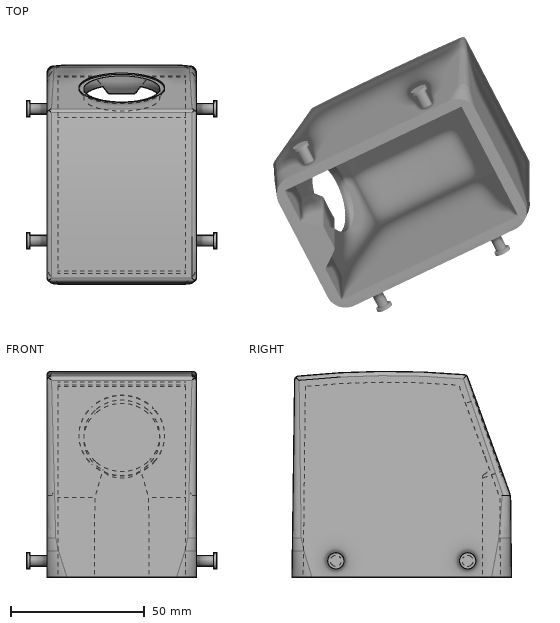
import cadquery as cq
import math

length = 82.0
height = 76.9
width = 55.85
wall = 4.1
edge_radius = 1.6

front_draft = 1.0
back_draft = 0.3
bend_z = 30.5
bend_radius = 11.1
slope_top_y = 24.3
crown_y = -4.9
roof_radius = 319.8

bottom_corner_radius = 7.5
front_stations = [(9.8, 4.35), (14.8, 3.3)]
back_middle = (14.8, 4.6)
back_bend_radius = 3.2
slope_start_radius = 2.7
cutter_margin = 1.6

entry_z = 53.0
entry_diameter = 28.4
recess_diameter = 32.0
recess_depth = 0.5
entry_reach = 13.1

rib_face_y = 30.2
rib_face_half_width = 4.9
rib_edge_radius = 1.2
rib_side_spread = 0.8

stud_span = 71.0
stud_y = 24.6
stud_z = 6.15
shank_diameter = 4.1
head_diameter = 6.1
head_thickness = 1.2

half_width = width / 2
half_length = length / 2


def roof_z(y):
    drop = roof_radius - math.sqrt(roof_radius**2 - (y - crown_y) ** 2)
    return height - drop


front_bottom = (-half_length, 0)
front_top_y = -half_length + front_draft
front_top = (front_top_y, roof_z(front_top_y))
back_bottom = (half_length, 0)
bend = (half_length - back_draft, bend_z)
slope_top = (slope_top_y, roof_z(slope_top_y))

slope_length = math.dist(bend, slope_top)
slope_normal_y = (slope_top[1] - bend[1]) / slope_length
slope_normal_z = (bend[0] - slope_top[0]) / slope_length


def side_outline(bottom_z=0.0):
    return (
        cq.Workplane("YZ")
        .moveTo(-half_length, bottom_z)
        .lineTo(half_length, bottom_z)
        .lineTo(*bend)
        .lineTo(*slope_top)
        .threePointArc((crown_y, height), front_top)
        .close()
    )


def corner_section(edge_y, edge_z, inward, radius):
    """Area outside a rounded corner, in the plane of X and the inward direction."""
    plane = cq.Plane(
        origin=(half_width, edge_y, edge_z),
        xDir=(1, 0, 0),
        normal=cq.Vector(1, 0, 0).cross(cq.Vector(0, *inward)),
    )
    mid = radius * (1 - math.cos(math.pi / 4))
    return (
        cq.Workplane(plane)
        .moveTo(-radius, -cutter_margin)
        .lineTo(-radius, 0)
        .threePointArc((-mid, mid), (0, radius))
        .lineTo(cutter_margin, radius)
        .lineTo(cutter_margin, -cutter_margin)
        .close()
        .val()
    )


def corner_cutter(start, end, inward, stations):
    """Solid removed along one edge; stations are (distance from start, radius)."""
    edge_length = math.dist(start, end)
    sections = []
    for distance, radius in stations:
        share = distance / edge_length
        y = start[0] + share * (end[0] - start[0])
        z = start[1] + share * (end[1] - start[1])
        sections.append(corner_section(y, z, inward, radius))
    cutter = cq.Workplane(cq.Solid.makeLoft(sections, True))
    return [cutter, cutter.mirror("YZ")]


front_length = math.dist(front_bottom, front_top)
cutters = (
    corner_cutter(
        front_bottom,
        front_top,
        (1, 0),
        [(0, bottom_corner_radius)]
        + front_stations
        + [(front_length + cutter_margin, edge_radius)],
    )
    + corner_cutter(
        back_bottom,
        bend,
        (-1, 0),
        [(0, bottom_corner_radius), back_middle, (bend_z, back_bend_radius)],
    )
    + corner_cutter(
        bend,
        slope_top,
        (-slope_normal_y, -slope_normal_z),
        [(0, slope_start_radius), (slope_length + cutter_margin, edge_radius)],
    )
)

hood = side_outline().extrude(half_width, both=True)
bend_edge = cq.selectors.NearestToPointSelector((0, *bend))
hood = hood.edges(bend_edge).fillet(bend_radius)
roof = cq.selectors.NearestToPointSelector((0, crown_y, height))
hood = hood.faces(roof).edges().fillet(edge_radius)
for cutter in cutters:
    hood = hood.cut(cutter)

mouth_z = -2 * wall
cavity = side_outline(mouth_z).offset2D(-wall).extrude(half_width - wall, both=True)
rib_depth = half_length - rib_face_y
rib_base_half_width = rib_face_half_width + rib_side_spread * rib_depth
rib = (
    cq.Workplane("XY")
    .polyline(
        [
            (-rib_face_half_width, rib_face_y),
            (rib_face_half_width, rib_face_y),
            (rib_base_half_width, half_length),
            (-rib_base_half_width, half_length),
        ]
    )
    .close()
    .extrude(height)
    .faces("<Y")
    .edges("|Z")
    .fillet(rib_edge_radius)
)
hood = hood.cut(cavity.cut(rib))

entry_y = bend[0] - (entry_z - bend_z) * slope_normal_z / slope_normal_y
entry_plane = cq.Plane(
    origin=(0, entry_y, entry_z),
    xDir=(1, 0, 0),
    normal=(0, slope_normal_y, slope_normal_z),
)
entry = cq.Workplane(entry_plane).circle(entry_diameter / 2).extrude(-entry_reach)
recess = cq.Workplane(entry_plane).circle(recess_diameter / 2).extrude(-recess_depth)
hood = hood.cut(entry).cut(recess)


def stud(side, y):
    """Headed pin standing out of one side wall; side is -1 or 1."""
    root_x = side * (half_width - wall / 2)
    head_x = side * (stud_span / 2 - head_thickness)
    root = cq.Workplane("YZ", origin=(root_x, y, stud_z))
    shank = root.circle(shank_diameter / 2).extrude(head_x - root_x)
    head_base = cq.Workplane("YZ", origin=(head_x, y, stud_z))
    head = head_base.circle(head_diameter / 2).extrude(side * head_thickness)
    return shank.union(head)


result = hood
for side in (-1, 1):
    for y in (-stud_y, stud_y):
        result = result.union(stud(side, y))